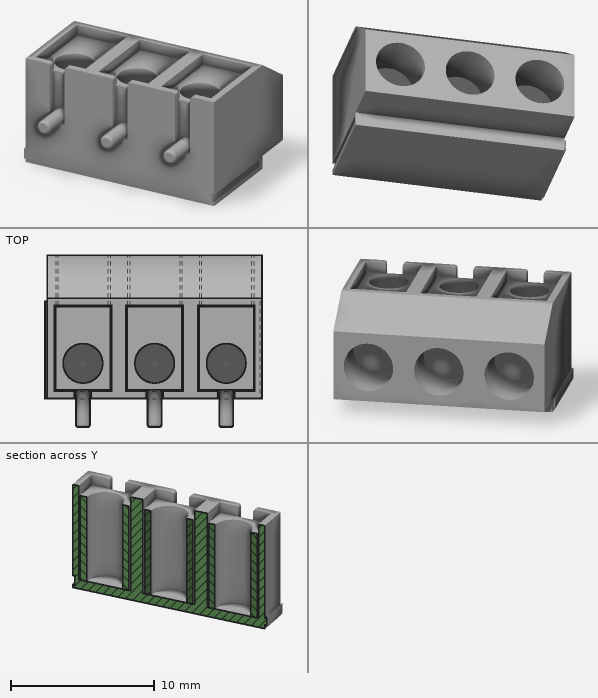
import cadquery as cq
import math


LENGTH = 15.0
DEPTH = 10.0
HEIGHT = 8.0
SHOULDER_DEPTH = 3.0
SLOPE_DROP = 2.0
STEP_HEIGHT = 1.0

STATION_COUNT = 3
PITCH = LENGTH / STATION_COUNT

CLAMP_WIDTH = 3.8
CLAMP_DEPTH = 5.8
CLAMP_RECESS = 0.74
CLEARANCE = 0.098
FRONT_WALL = 0.5
SCREW_HOLE_DIAMETER = 2.75
SCREW_HOLE_Y = 2.45

CLAMP_FRONT = FRONT_WALL + CLEARANCE
CLAMP_MIDDLE_Y = CLAMP_FRONT + CLAMP_DEPTH / 2
CLAMP_TOP = HEIGHT - CLAMP_RECESS
CLAMP_BACK = CLAMP_FRONT + CLAMP_DEPTH
POCKET_FLOOR = CLAMP_RECESS
CLAMP_HEIGHT = CLAMP_TOP - POCKET_FLOOR

SLEEVE_DIAMETER = 3.8
SLEEVE_BORE = 3.5
SLEEVE_START = CLAMP_BACK + CLEARANCE / 2
SLEEVE_LENGTH = DEPTH - SLEEVE_START
SLEEVE_Z = (STEP_HEIGHT + HEIGHT - SLOPE_DROP) / 2

PIN_DIAMETER = 1.0
PIN_PROJECTION = 2.0
PIN_TIP_RADIUS = 0.2
PIN_Z = HEIGHT / 2
SLOT_WIDTH = 1.2
SLOT_TOP_RADIUS = 0.2
SLOT_BOTTOM = PIN_Z - SLOT_WIDTH / 2

RAIL_PROJECTION = 0.15
RAIL_BOTTOM = 0.2
RAIL_TOP = STEP_HEIGHT
RAIL_LENGTH = DEPTH - SHOULDER_DEPTH - RAIL_BOTTOM
RAIL_FLARE = RAIL_PROJECTION


def station_positions():
    """X positions of the terminal stations."""
    first = -PITCH * (STATION_COUNT - 1) / 2
    return [first + PITCH * index for index in range(STATION_COUNT)]


def make_dovetail(root_x):
    """Dovetail prism whose narrow root is at root_x and whose wide face points to -X."""
    wide_x = root_x - RAIL_PROJECTION
    return (
        cq.Workplane("XZ")
        .moveTo(root_x, RAIL_BOTTOM + RAIL_FLARE)
        .lineTo(wide_x, RAIL_BOTTOM)
        .lineTo(wide_x, RAIL_TOP)
        .lineTo(root_x, RAIL_TOP - RAIL_FLARE)
        .close()
        .extrude(-RAIL_LENGTH)
    )


def make_housing_block():
    """Side profile with the sloped back and the raised back step, run along X."""
    shoulder_y = DEPTH - SHOULDER_DEPTH
    return (
        cq.Workplane("YZ")
        .moveTo(0, 0)
        .lineTo(shoulder_y, 0)
        .lineTo(shoulder_y, STEP_HEIGHT)
        .lineTo(DEPTH, STEP_HEIGHT)
        .lineTo(DEPTH, HEIGHT - SLOPE_DROP)
        .lineTo(shoulder_y, HEIGHT)
        .lineTo(0, HEIGHT)
        .close()
        .extrude(LENGTH / 2, both=True)
    )


def make_pocket(x):
    """Space for one clamp, open at the top of the housing."""
    return (
        cq.Workplane("XY", origin=(x, CLAMP_MIDDLE_Y, POCKET_FLOOR))
        .rect(CLAMP_WIDTH + 2 * CLEARANCE, CLAMP_DEPTH + 2 * CLEARANCE)
        .extrude(HEIGHT - POCKET_FLOOR)
    )


def make_pin_slot(x):
    """Slot through the front wall, widened at the top by rounded wall corners."""
    side = SLOT_WIDTH / 2
    mouth = side + SLOT_TOP_RADIUS
    arc_start = HEIGHT - SLOT_TOP_RADIUS
    arc_middle_x = mouth - SLOT_TOP_RADIUS * math.cos(math.pi / 4)
    arc_middle_z = arc_start + SLOT_TOP_RADIUS * math.sin(math.pi / 4)
    return (
        cq.Workplane("XZ", origin=(x, 0, 0))
        .moveTo(-side, SLOT_BOTTOM)
        .lineTo(side, SLOT_BOTTOM)
        .lineTo(side, arc_start)
        .threePointArc((arc_middle_x, arc_middle_z), (mouth, HEIGHT))
        .lineTo(-mouth, HEIGHT)
        .threePointArc((-arc_middle_x, arc_middle_z), (-side, arc_start))
        .close()
        .extrude(-FRONT_WALL)
    )


def make_sleeve_cylinder(x, diameter):
    """Cylinder along Y from the gap behind a clamp to the back face of the housing."""
    return (
        cq.Workplane("XZ", origin=(x, SLEEVE_START, SLEEVE_Z))
        .circle(diameter / 2)
        .extrude(-SLEEVE_LENGTH)
    )


def make_housing():
    """Housing with its rail, groove, clamp pockets, pin slots and sleeve holes."""
    housing = make_housing_block()
    housing = housing.union(make_dovetail(-LENGTH / 2))
    housing = housing.cut(make_dovetail(LENGTH / 2))
    for x in station_positions():
        housing = housing.cut(make_pocket(x))
        housing = housing.cut(make_pin_slot(x))
        housing = housing.cut(make_sleeve_cylinder(x, SLEEVE_DIAMETER))
    return housing


def make_clamp(x):
    """Clamp block that stands on the pocket floor, with a screw hole through it."""
    block = (
        cq.Workplane("XY", origin=(x, CLAMP_MIDDLE_Y, POCKET_FLOOR))
        .rect(CLAMP_WIDTH, CLAMP_DEPTH)
        .extrude(CLAMP_HEIGHT)
    )
    screw_hole = (
        cq.Workplane("XY", origin=(x, SCREW_HOLE_Y, POCKET_FLOOR))
        .circle(SCREW_HOLE_DIAMETER / 2)
        .extrude(CLAMP_HEIGHT)
    )
    return block.cut(screw_hole)


def make_sleeve(x):
    """Wire sleeve in the back wall, its front end halfway across the gap to the clamp."""
    return make_sleeve_cylinder(x, SLEEVE_DIAMETER).cut(make_sleeve_cylinder(x, SLEEVE_BORE))


def make_pin(x):
    """Contact pin that starts on the clamp front and ends in a rounded tip."""
    return (
        cq.Workplane("XZ", origin=(x, CLAMP_FRONT, PIN_Z))
        .circle(PIN_DIAMETER / 2)
        .extrude(CLAMP_FRONT + PIN_PROJECTION)
        .faces("<Y")
        .edges()
        .fillet(PIN_TIP_RADIUS)
    )


housing = make_housing()
clamps = [make_clamp(x) for x in station_positions()]
sleeves = [make_sleeve(x) for x in station_positions()]
pins = [make_pin(x) for x in station_positions()]

result = cq.Compound.makeCompound(
    [
        housing.val(),
        *[clamp.val() for clamp in clamps],
        *[sleeve.val() for sleeve in sleeves],
        *[pin.val() for pin in pins],
    ]
)